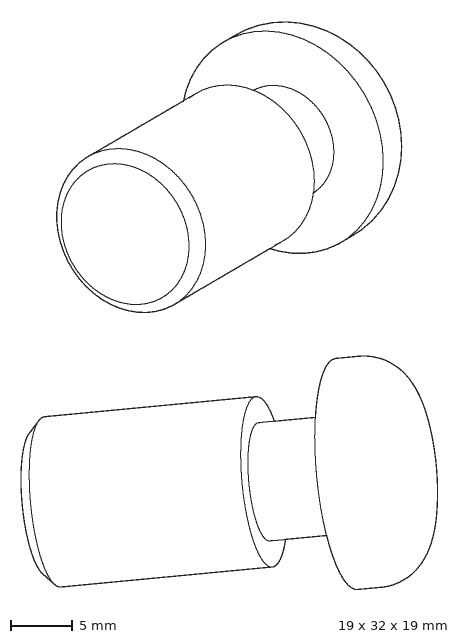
import cadquery as cq

total_length = 32.0
head_diameter = 19.0
head_thickness = 6.0
head_rounding = 4.0
neck_diameter = 9.73
neck_length = 7.0
shank_diameter = 14.0
tip_chamfer = 1.0

shank_length = total_length - head_thickness - neck_length


def cylinder_along_y(diameter, start, length):
    """Solid cylinder on the Y axis, running from start towards +Y."""
    base = cq.Workplane("XZ", origin=(0, start, 0))
    return base.circle(diameter / 2).extrude(-length)


shank = cylinder_along_y(shank_diameter, 0, shank_length)
shank = shank.faces("<Y").chamfer(tip_chamfer)

neck = cylinder_along_y(neck_diameter, shank_length, neck_length)

head = cylinder_along_y(head_diameter, shank_length + neck_length, head_thickness)
head = head.faces(">Y").edges().fillet(head_rounding)

result = shank.union(neck).union(head)